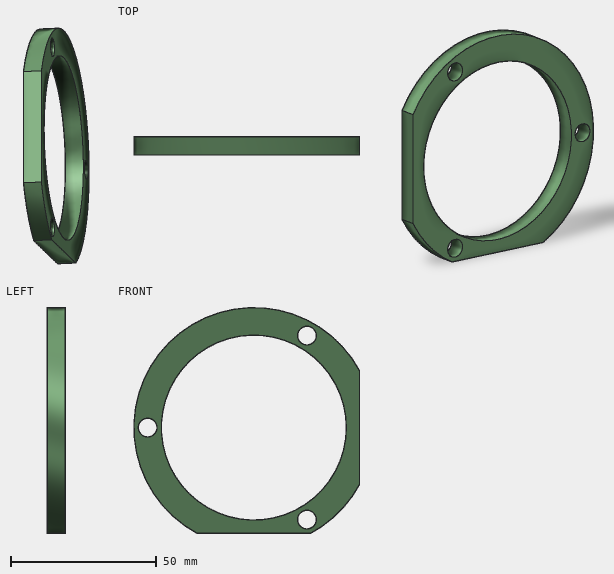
import cadquery as cq

outer_diameter = 82.55
bore_diameter = 63.5
thickness = 6.35
overall_width = 77.63
hole_diameter = 6.35
hole_count = 3
first_hole_angle = 60

outer_radius = outer_diameter / 2
flat_distance = overall_width - outer_radius
hole_circle_radius = (outer_diameter + bore_diameter) / 4


def flatted_disc():
    """Round disc with one flat on the +X side and one on the -Z side."""
    disc = cq.Workplane("XZ").circle(outer_radius).extrude(thickness / 2, both=True)
    square_center = flat_distance - overall_width / 2
    trimming_square = (
        cq.Workplane("XZ")
        .center(square_center, -square_center)
        .rect(overall_width, overall_width)
        .extrude(thickness / 2, both=True)
    )
    return disc.intersect(trimming_square)


def bore():
    """Large central opening."""
    return cq.Workplane("XZ").circle(bore_diameter / 2).extrude(thickness / 2, both=True)


def mounting_holes():
    """Equally spaced through holes on the middle of the ring wall."""
    return (
        cq.Workplane("XZ")
        .polarArray(hole_circle_radius, first_hole_angle, 360, hole_count)
        .circle(hole_diameter / 2)
        .extrude(thickness / 2, both=True)
    )


result = flatted_disc().cut(bore()).cut(mounting_holes())